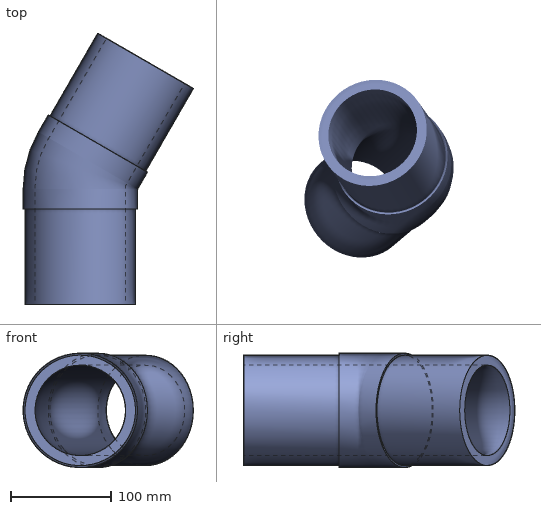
import cadquery as cq
import math

bend_angle = 30.0
leg_length = 130.0
pipe_length = 95.0
pipe_diameter = 110.0
collar_diameter = 114.0
bore_diameter = 90.0
pivot_gap = 0.1

outer_bend_radius = collar_diameter / 2 + pivot_gap
bore_bend_radius = bore_diameter / 2 + pivot_gap

half_bend_angle = math.radians(bend_angle / 2)


def straight_length(bend_radius):
    """Length of a leg from its open end to the start of a bend."""
    return leg_length - bend_radius * math.tan(half_bend_angle)


def leg_cylinder(diameter, start, end):
    """Cylinder on the first leg's axis (Y), between two distances from its open end."""
    return (
        cq.Workplane("XZ", origin=(0, start, 0))
        .circle(diameter / 2)
        .extrude(start - end)
    )


def to_second_leg(leg):
    """Mirror a first-leg body across the plane that halves the bend."""
    normal = cq.Vector(math.sin(half_bend_angle), math.cos(half_bend_angle), 0)
    return leg.mirror(normal, (0, leg_length, 0))


def bend(diameter, bend_radius):
    """Torus segment that joins the two legs, curving toward +X."""
    return (
        cq.Workplane("XZ", origin=(0, straight_length(bend_radius), 0))
        .circle(diameter / 2)
        .revolve(bend_angle, (bend_radius, 1, 0), (bend_radius, 0, 0))
    )


def elbow_outside():
    """Thicker collar around the bend with a plain pipe on each side."""
    pipe = leg_cylinder(pipe_diameter, 0, pipe_length)
    collar = leg_cylinder(collar_diameter, pipe_length, straight_length(outer_bend_radius))
    leg = pipe.union(collar)
    return leg.union(bend(collar_diameter, outer_bend_radius)).union(to_second_leg(leg))


def elbow_bore():
    """Constant-diameter passage from one open end to the other."""
    leg = leg_cylinder(bore_diameter, 0, straight_length(bore_bend_radius))
    return leg.union(bend(bore_diameter, bore_bend_radius)).union(to_second_leg(leg))


result = elbow_outside().cut(elbow_bore())